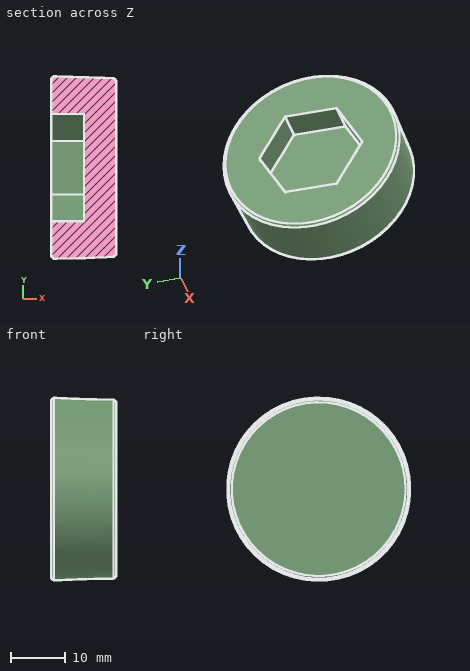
import cadquery as cq
import math

length = 12.0
mid_diameter = 33.249
taper = 1 / 16
chamfer = 0.5

socket_across_flats = 17.0
socket_depth = 6.0


def taper_radius(x):
    """Radius of the tapered side at position x along the axis."""
    return (mid_diameter + taper * (length / 2 - x)) / 2


def make_body():
    """Tapered disc with chamfered ends, revolved about the X axis."""
    large_radius = taper_radius(chamfer)
    small_radius = taper_radius(length - chamfer)
    profile = (
        cq.Workplane("XY")
        .moveTo(0, 0)
        .lineTo(0, large_radius - chamfer)
        .lineTo(chamfer, large_radius)
        .lineTo(length - chamfer, small_radius)
        .lineTo(length, small_radius - chamfer)
        .lineTo(length, 0)
        .close()
    )
    return profile.revolve(360, (0, 0, 0), (1, 0, 0))


def make_socket():
    """Hexagonal prism with corners pointing along Y and flats facing Z."""
    across_corners = socket_across_flats / math.cos(math.pi / 6)
    return cq.Workplane("YZ").polygon(6, across_corners).extrude(socket_depth)


result = make_body().cut(make_socket())